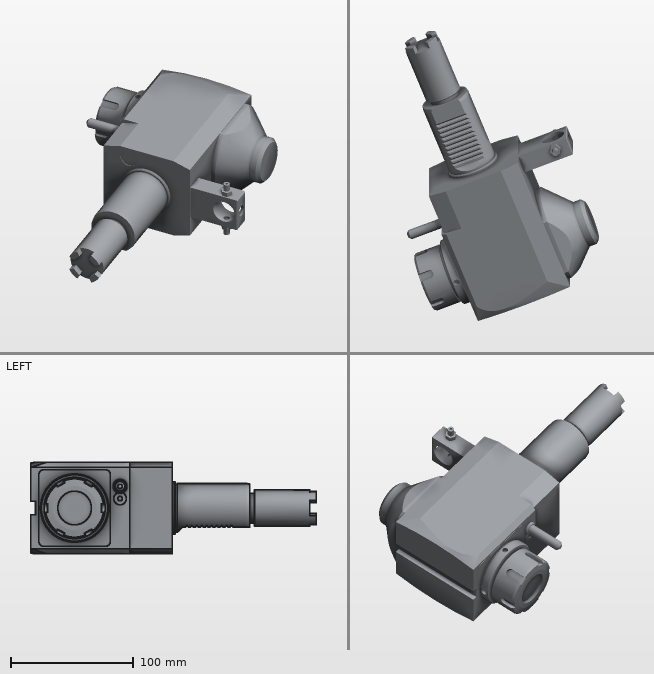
import cadquery as cq
import math


HALF_HEIGHT = 75.0 / 2
HOUSING_LENGTH = 115.8
LOWER_LENGTH = 34.8
LOWER_HALF_WIDTH = 78.2 / 2
SHOULDER_Z = 33.2
TOP_HALF_WIDTH = 48.3 / 2
UPPER_LEFT_X = -41.8
EDGE_CHAMFER = HALF_HEIGHT - SHOULDER_Z
REAR_ARC_Z = 36.7
REAR_DROP_LEFT = 13.5
REAR_DROP_RIGHT = 12.5
REAR_CURVE = [(-26.9, 5.1), (-12.8, 3.5), (2.8, 6.0)]
REAR_SLOT_WIDTH = 10.7
REAR_SLOT_DEPTH = 4.0
SEAT_MARK_X = -16.0
SEAT_MARK_Z = 27.8
SEAT_MARK_RADIUS = 7.7
SEAT_MARK_DEPTH = 0.5

SPINDLE_Y = 79.9
NUT_FRONT_X = -75.0
NUT_SHOULDER_X = -72.5
NUT_BACK_X = -52.3
NUT_RADIUS = 25.0
NUT_FACE_RADIUS = 18.0
NUT_RIM_RADIUS = 23.8
NUT_RIM_X = -74.3
NUT_BORE_RADIUS = 13.8
NUT_BORE_DEPTH = 2.8
NUT_SLOT_COUNT = 6
NUT_SLOT_WIDTH = 6.8
NUT_SLOT_END_X = -62.0
NUT_UPPER_SLOT_END_X = -58.0
NUT_SLOT_DEPTH = 3.0
NECK_RADIUS = 21.5
RING_FRONT_X = -50.2
RING_BACK_X = -42.5
RING_RADIUS = 55.8 / 2
RING_CHAMFER = 0.7
RING_HOLE_COUNT = 4
RING_HOLE_RADIUS = 2.3
RING_HOLE_DEPTH = 3.5
PLATE_WIDTH = 58.5
PLATE_HEIGHT = 62.5
PLATE_CORNER = 4.0
PLATE_RISE = 0.2

CONE_BASE_RADIUS = 40.2
CONE_RIM_LENGTH = 3.5
CONE_HUB_RADIUS = 19.5
CONE_HUB_END_X = 72.5
CONE_HUB_CHAMFER = 2.8
CONE_HALF_HEIGHT = 32.7
CONE_BACK_Y = 111.6

PIN_Y = 42.7
PIN_Z = 17.7
PIN_RADIUS = 4.0
PIN_TIP_X = -74.5
PIN_TIP_CHAMFER = 2.0
PIN_COLLAR_RADIUS = 5.5
PIN_COLLAR_LENGTH = 2.0
PIN_COLLAR_CHAMFER = 0.7
PLUG_Z = 7.7
PLUG_RADIUS = 5.1
PLUG_RISE = 1.0
PLUG_SOCKET_RADIUS = 1.9

COLLAR_RADIUS = 43.2 / 2
COLLAR_LENGTH = 2.3
COLLAR_CHAMFER = 0.7
RELIEF_END = 4.0
RELIEF_RADIUS = 19.6
SHAFT_RADIUS = 20.0
SHAFT_LENGTH = 63.3
SHAFT_CHAMFER_LENGTH = 2.8
SHAFT_END_RADIUS = 19.6
UNDERCUT_RADIUS = 24.5 / 2
SPIGOT_START = 66.8
SPIGOT_RADIUS = 15.0
SPIGOT_LENGTH = 112.3
SPIGOT_CHAMFER = 0.7
TANG_END = 117.7
TANG_COUNT = 4
TANG_INNER = 9.8
TANG_HALF_ANGLE = 20

FLAT_Z = -15.6
FLAT_START = 8.2
TOOTH_COUNT = 10
FIRST_TOOTH = 12.0
LAST_TOOTH = 48.3
TOOTH_PITCH = (LAST_TOOTH - FIRST_TOOTH) / (TOOTH_COUNT - 1)
TOOTH_DEPTH = 1.5

BRACKET_END_X = 81.7
BRACKET_FRONT_Y = 1.0
BRACKET_BACK_Y = 15.9
BRACKET_HALF_HEIGHT = 15.0
BRACKET_CHAMFER = 0.58
BRACKET_HOLE_X = 69.5
BRACKET_HOLE_RADIUS = 9.8
SCREW_Y = 6.0
SCREW_RADIUS = 2.5
BRACKET_END_HOLE_RADIUS = 4.7
SCREW_TOP_Z = 50.2 / 2
SCREW_SOCKET_RADIUS = 1.2
SCREW_SOCKET_DEPTH = 1.9
SCREW_INNER_Z = 11.7
SCREW_NUT_ACROSS_CORNERS = 9.3
SCREW_NUT_HEIGHT = 4.0

TAPER = (HALF_HEIGHT - SHOULDER_Z) / (LOWER_HALF_WIDTH - TOP_HALF_WIDTH)
SPINDLE_DIRECTION = cq.Vector(1, 0, 0)


def prism_along_y(points, y_start, y_end):
    """Extrude an outline given as (x, z) points from y_start to y_end."""
    plane = cq.Plane(origin=(0, y_start, 0), xDir=(1, 0, 0), normal=(0, -1, 0))
    return cq.Workplane(plane).polyline(points).close().extrude(y_start - y_end)


def cylinder_along_x(radius, x_start, x_end, y, z):
    base = cq.Vector(x_start, y, z)
    return cq.Workplane(obj=cq.Solid.makeCylinder(radius, x_end - x_start, base, SPINDLE_DIRECTION))


def revolve_on_spindle(profile):
    """Revolve (x, radius) points about the spindle axis."""
    plane = cq.Workplane("XY", origin=(0, SPINDLE_Y, 0))
    return plane.polyline(profile).close().revolve(360, (0, 0, 0), (1, 0, 0))


def spindle_angles(count):
    """Equally spaced angles from +Z about the spindle axis, the first one facing -Y."""
    return [90 + index * 360 / count for index in range(count)]


def turn_about_spindle(body, angle):
    return body.rotate((0, SPINDLE_Y, 0), (1, SPINDLE_Y, 0), angle)


def rear_bevel():
    """Wedge between the arched rear edge and the curved edge it leaves on the top face."""
    def vector(x, drop, z):
        return cq.Vector(x, HOUSING_LENGTH - drop, z)

    left_x = UPPER_LEFT_X + EDGE_CHAMFER
    low_left = vector(UPPER_LEFT_X, 0, SHOULDER_Z)
    low_right = vector(LOWER_HALF_WIDTH, 0, SHOULDER_Z)
    high_left = vector(left_x, 0, HALF_HEIGHT)
    high_right = vector(TOP_HALF_WIDTH, 0, HALF_HEIGHT)
    front_left = vector(left_x, REAR_DROP_LEFT, HALF_HEIGHT)
    front_right = vector(TOP_HALF_WIDTH, REAR_DROP_RIGHT, HALF_HEIGHT)

    crown = vector((UPPER_LEFT_X + LOWER_HALF_WIDTH) / 2, 0, REAR_ARC_Z)
    rear_edge = cq.Edge.makeThreePointArc(low_left, crown, low_right)
    bulge = [vector(x, drop, HALF_HEIGHT) for x, drop in REAR_CURVE]
    top_edge = cq.Edge.makeSpline([front_left] + bulge + [front_right])

    def line(start, end):
        return cq.Edge.makeLine(start, end)

    def flat_face(*edges):
        return cq.Face.makeFromWires(cq.Wire.assembleEdges(edges))

    left_end = line(low_left, high_left)
    right_end = line(high_right, low_right)
    back_top = line(high_left, high_right)
    left_top = line(front_left, high_left)
    right_top = line(high_right, front_right)
    faces = [
        cq.Face.makeRuledSurface(rear_edge, top_edge),
        flat_face(left_end, back_top, right_end, rear_edge),
        flat_face(top_edge, right_top, back_top, left_top),
        flat_face(left_end, left_top, line(front_left, low_left)),
        flat_face(right_end, line(low_right, front_right), right_top),
    ]
    return cq.Workplane(obj=cq.Solid.makeSolid(cq.Shell.makeShell(faces)).fix())


def make_housing():
    right_side = [
        (TOP_HALF_WIDTH, HALF_HEIGHT),
        (LOWER_HALF_WIDTH, SHOULDER_Z),
        (LOWER_HALF_WIDTH, -SHOULDER_Z),
        (TOP_HALF_WIDTH, -HALF_HEIGHT),
    ]
    lower_left = [(-x, z) for x, z in reversed(right_side)]
    chamfer_x = UPPER_LEFT_X + EDGE_CHAMFER
    upper_left = [
        (chamfer_x, -HALF_HEIGHT),
        (UPPER_LEFT_X, -SHOULDER_Z),
        (UPPER_LEFT_X, SHOULDER_Z),
        (chamfer_x, HALF_HEIGHT),
    ]
    housing = prism_along_y(right_side + lower_left, 0, LOWER_LENGTH)
    housing = housing.union(prism_along_y(right_side + upper_left, LOWER_LENGTH, HOUSING_LENGTH))

    bevel = rear_bevel()
    housing = housing.cut(bevel).cut(bevel.mirror("XY"))

    slot = cq.Workplane("XY").box(4 * LOWER_HALF_WIDTH, 2 * REAR_SLOT_DEPTH, REAR_SLOT_WIDTH)
    housing = housing.cut(slot.translate((0, HOUSING_LENGTH, 0)))

    mark = cq.Workplane("XZ").center(SEAT_MARK_X, SEAT_MARK_Z).circle(SEAT_MARK_RADIUS)
    return housing.cut(mark.extrude(-SEAT_MARK_DEPTH))


def make_plate():
    """Slightly raised face plate around the spindle."""
    plate = cq.Workplane("YZ", origin=(UPPER_LEFT_X - PLATE_RISE, SPINDLE_Y, 0))
    plate = plate.rect(PLATE_WIDTH, PLATE_HEIGHT).extrude(2 * PLATE_RISE)
    return plate.edges("|X").fillet(PLATE_CORNER)


def make_collet_nut():
    bore_floor_x = NUT_FRONT_X + NUT_BORE_DEPTH
    nut = revolve_on_spindle([
        (UPPER_LEFT_X, 0),
        (bore_floor_x, 0),
        (bore_floor_x, NUT_BORE_RADIUS),
        (NUT_FRONT_X, NUT_BORE_RADIUS),
        (NUT_FRONT_X, NUT_FACE_RADIUS),
        (NUT_RIM_X, NUT_RIM_RADIUS),
        (NUT_SHOULDER_X, NUT_RADIUS),
        (NUT_BACK_X, NUT_RADIUS),
        (NUT_BACK_X, NECK_RADIUS),
        (RING_FRONT_X, NECK_RADIUS),
        (RING_FRONT_X, RING_RADIUS - RING_CHAMFER),
        (RING_FRONT_X + RING_CHAMFER, RING_RADIUS),
        (RING_BACK_X - RING_CHAMFER, RING_RADIUS),
        (RING_BACK_X, RING_RADIUS - RING_CHAMFER),
        (UPPER_LEFT_X, RING_RADIUS - RING_CHAMFER),
    ])

    slot_floor = NUT_RADIUS - NUT_SLOT_DEPTH
    for angle in spindle_angles(NUT_SLOT_COUNT):
        faces_up = NUT_RADIUS * math.cos(math.radians(angle)) > NUT_SLOT_WIDTH
        end_x = NUT_UPPER_SLOT_END_X if faces_up else NUT_SLOT_END_X
        slot = cq.Workplane("XY", origin=(NUT_FRONT_X, SPINDLE_Y, slot_floor))
        slot = slot.slot2D(2 * (end_x - NUT_FRONT_X), NUT_SLOT_WIDTH).extrude(2 * NUT_SLOT_DEPTH)
        nut = nut.cut(turn_about_spindle(slot, angle))

    hole_x = (RING_FRONT_X + RING_BACK_X) / 2
    hole = cq.Workplane("XY", origin=(hole_x, SPINDLE_Y, RING_RADIUS - RING_HOLE_DEPTH))
    hole = hole.circle(RING_HOLE_RADIUS).extrude(2 * RING_HOLE_DEPTH)
    for angle in spindle_angles(RING_HOLE_COUNT):
        nut = nut.cut(turn_about_spindle(hole, angle))
    return nut


def make_rear_cone():
    rim_x = LOWER_HALF_WIDTH + CONE_RIM_LENGTH
    hub_x = rim_x + CONE_BASE_RADIUS - CONE_HUB_RADIUS
    cone = revolve_on_spindle([
        (LOWER_HALF_WIDTH, 0),
        (LOWER_HALF_WIDTH, CONE_BASE_RADIUS),
        (rim_x, CONE_BASE_RADIUS),
        (hub_x, CONE_HUB_RADIUS),
        (CONE_HUB_END_X - CONE_HUB_CHAMFER, CONE_HUB_RADIUS),
        (CONE_HUB_END_X, CONE_HUB_RADIUS - CONE_HUB_CHAMFER),
        (CONE_HUB_END_X, 0),
    ])
    end_z = CONE_HALF_HEIGHT - TAPER * (CONE_HUB_END_X - rim_x)
    limits = [
        (LOWER_HALF_WIDTH, CONE_HALF_HEIGHT),
        (rim_x, CONE_HALF_HEIGHT),
        (CONE_HUB_END_X, end_z),
        (CONE_HUB_END_X, -end_z),
        (rim_x, -CONE_HALF_HEIGHT),
        (LOWER_HALF_WIDTH, -CONE_HALF_HEIGHT),
    ]
    return cone.intersect(prism_along_y(limits, 0, CONE_BACK_Y))


def make_pin_and_plug():
    pin = cylinder_along_x(PIN_RADIUS, PIN_TIP_X, UPPER_LEFT_X, PIN_Y, PIN_Z)
    pin = pin.faces("<X").chamfer(PIN_TIP_CHAMFER)
    collar_x = UPPER_LEFT_X - PIN_COLLAR_LENGTH
    collar = cylinder_along_x(PIN_COLLAR_RADIUS, collar_x, UPPER_LEFT_X, PIN_Y, PIN_Z)
    collar = collar.faces("<X").chamfer(PIN_COLLAR_CHAMFER)
    plug_x = UPPER_LEFT_X - PLUG_RISE
    plug = cylinder_along_x(PLUG_RADIUS, plug_x, UPPER_LEFT_X, PIN_Y, PLUG_Z)
    plug = plug.cut(cylinder_along_x(PLUG_SOCKET_RADIUS, plug_x, UPPER_LEFT_X, PIN_Y, PLUG_Z))
    return plug.union(collar).union(pin)


def make_shaft():
    profile = [
        (0, 0),
        (COLLAR_RADIUS, 0),
        (COLLAR_RADIUS, COLLAR_CHAMFER - COLLAR_LENGTH),
        (COLLAR_RADIUS - COLLAR_CHAMFER, -COLLAR_LENGTH),
        (RELIEF_RADIUS, -COLLAR_LENGTH),
        (RELIEF_RADIUS, -RELIEF_END),
        (SHAFT_RADIUS, -RELIEF_END),
        (SHAFT_RADIUS, SHAFT_CHAMFER_LENGTH - SHAFT_LENGTH),
        (SHAFT_END_RADIUS, -SHAFT_LENGTH),
        (UNDERCUT_RADIUS, -SHAFT_LENGTH),
        (UNDERCUT_RADIUS, -SPIGOT_START),
        (SPIGOT_RADIUS - SPIGOT_CHAMFER, -SPIGOT_START),
        (SPIGOT_RADIUS, -SPIGOT_START - SPIGOT_CHAMFER),
        (SPIGOT_RADIUS, -SPIGOT_LENGTH),
        (0, -SPIGOT_LENGTH),
    ]
    shaft = cq.Workplane("XY").polyline(profile).close().revolve(360, (0, 0, 0), (0, 1, 0))
    return shaft.cut(flat_cutter()).union(make_tangs())


def flat_cutter():
    """Space under the shaft flat: a 45 degree run-in, then V grooves, then plain to the end."""
    outline = [(-FLAT_START, FLAT_Z)]
    for index in range(TOOTH_COUNT):
        groove_y = -FIRST_TOOTH - index * TOOTH_PITCH
        outline.append((groove_y + TOOTH_DEPTH, FLAT_Z))
        outline.append((groove_y, FLAT_Z + TOOTH_DEPTH))
        outline.append((groove_y - TOOTH_DEPTH, FLAT_Z))
    outside_z = -COLLAR_RADIUS
    run_in = FLAT_Z - outside_z
    outline.append((-SHAFT_LENGTH, FLAT_Z))
    outline.append((-SHAFT_LENGTH, outside_z))
    outline.append((run_in - FLAT_START, outside_z))
    return cq.Workplane("YZ").polyline(outline).close().extrude(SHAFT_RADIUS, both=True)


def make_tangs():
    """Drive tangs on the spigot end, at 45 degrees between the X and Z axes."""
    flare = math.tan(math.radians(TANG_HALF_ANGLE))
    wedge = [
        (TANG_INNER, TANG_INNER * flare),
        (SPIGOT_RADIUS, SPIGOT_RADIUS * flare),
        (SPIGOT_RADIUS, -SPIGOT_RADIUS * flare),
        (TANG_INNER, -TANG_INNER * flare),
    ]
    tang = prism_along_y(wedge, -TANG_END, -SPIGOT_LENGTH)
    spigot_end = cq.Workplane("XZ", origin=(0, -SPIGOT_LENGTH, 0))
    spigot_end = spigot_end.circle(SPIGOT_RADIUS).extrude(TANG_END - SPIGOT_LENGTH)
    tangs = cq.Workplane()
    for index in range(TANG_COUNT):
        angle = (index + 0.5) * 360 / TANG_COUNT
        tangs.add(tang.rotate((0, 0, 0), (0, 1, 0), angle).intersect(spigot_end))
    return tangs.combine()


def screw_plane(z):
    return cq.Workplane("XY", origin=(BRACKET_HOLE_X, SCREW_Y, z))


def make_bracket():
    length = BRACKET_END_X - LOWER_HALF_WIDTH
    depth = BRACKET_BACK_Y - BRACKET_FRONT_Y
    bracket = cq.Workplane("XY").box(length, depth, 2 * BRACKET_HALF_HEIGHT)
    middle_x = (BRACKET_END_X + LOWER_HALF_WIDTH) / 2
    middle_y = (BRACKET_BACK_Y + BRACKET_FRONT_Y) / 2
    bracket = bracket.translate((middle_x, middle_y, 0)).faces(">X").chamfer(BRACKET_CHAMFER)
    hole = cq.Workplane("XZ").center(BRACKET_HOLE_X, 0).circle(BRACKET_HOLE_RADIUS)
    bracket = bracket.cut(hole.extrude(-2 * BRACKET_BACK_Y))

    bracket = bracket.cut(
        cylinder_along_x(BRACKET_END_HOLE_RADIUS, BRACKET_HOLE_X, BRACKET_END_X, middle_y, 0)
    )

    threads = screw_plane(0).circle(SCREW_RADIUS).extrude(SCREW_INNER_Z, both=True)
    screw = screw_plane(SCREW_INNER_Z).circle(SCREW_RADIUS).extrude(SCREW_TOP_Z - SCREW_INNER_Z)
    socket = screw_plane(SCREW_TOP_Z).circle(SCREW_SOCKET_RADIUS).extrude(-SCREW_SOCKET_DEPTH)
    nut = screw_plane(BRACKET_HALF_HEIGHT).polygon(6, SCREW_NUT_ACROSS_CORNERS)
    screw = screw.cut(socket).union(nut.extrude(SCREW_NUT_HEIGHT))
    bracket = bracket.cut(threads)
    return bracket.union(screw).union(screw.mirror("XY"))


result = (
    make_housing()
    .union(make_plate())
    .union(make_collet_nut())
    .union(make_rear_cone())
    .union(make_pin_and_plug())
    .union(make_shaft())
    .union(make_bracket())
)